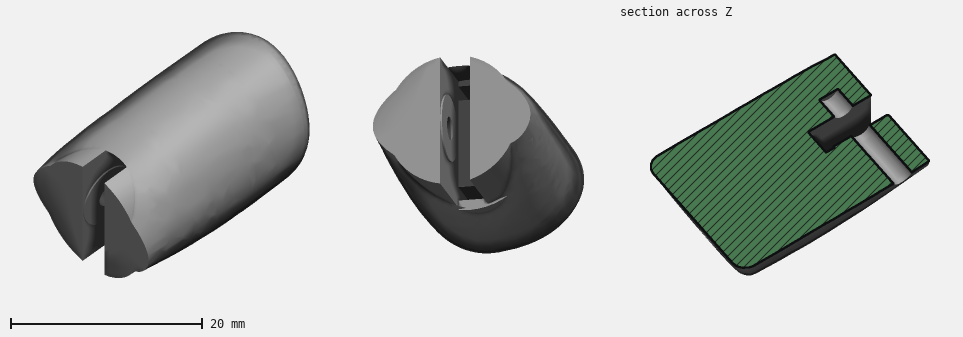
import cadquery as cq
import math

length = 26.75
half_width = 8.72
front_y = -length / 2

core_radius = 7.05
tail_radius = 7.3
tail_end_y = 0.0

slot_left = -1.23
slot_right = 1.95
slot_depth = 8.1
slot_width = slot_right - slot_left
slot_mid_x = (slot_left + slot_right) / 2
slot_floor_y = front_y + slot_depth
passage_spans = [(4.85, 6.4), (-6.18, -4.7)]

pin_diameter = 2.5
pin_y = -9.81
pin_z = 0.3
pin_depth_past_slot = 2.67
pad_radius = 3.53
pad_height = 0.2

slant_top = (14.4, 9.1)
slant_bottom = (7.85, -8.55)
rear_round = 1.6

stations = [
    (front_y, 8.45, 5.88, -4.0, -0.4, 0.82),
    (-9.63, 8.65, 7.1, -5.5, 0.0, 0.8),
    (-3.75, 8.7, 7.85, -7.38, 0.0, 0.76),
    (1.07, half_width, 8.08, -8.2, 0.0, 0.73),
    (6.95, half_width, 8.08, -7.92, 0.0, 0.73),
    (14.7, half_width, 8.53, -6.95, 0.0, 0.73),
]
upper_shoulder_x = 0.7
shoulder_z = 0.67


def section(y, half, top, bottom, middle, lower_shoulder_x):
    """Closed, rounded-diamond outline across the body at one Y."""
    upper_x = upper_shoulder_x * half
    lower_x = lower_shoulder_x * half
    upper_z = middle + shoulder_z * (top - middle)
    lower_z = middle + shoulder_z * (bottom - middle)
    points = [
        (0, bottom), (-lower_x, lower_z), (-half, middle), (-upper_x, upper_z),
        (0, top), (upper_x, upper_z), (half, middle), (lower_x, lower_z),
    ]
    plane = cq.Workplane(cq.Plane((0, y, 0), xDir=(1, 0, 0), normal=(0, -1, 0)))
    outline = plane.spline(points, periodic=True).close()
    return outline.wires().val()


def cylinder_y(radius, start_y, end_y):
    """Cylinder on the body axis between two Y places."""
    return cq.Workplane(cq.Solid.makeCylinder(
        radius, end_y - start_y, cq.Vector(0, start_y, 0), cq.Vector(0, 1, 0)))


def cylinder_x(radius, start_x, end_x):
    """Cylinder on the pin axis between two X places."""
    return cq.Workplane(cq.Solid.makeCylinder(
        radius, end_x - start_x, cq.Vector(start_x, pin_y, pin_z), cq.Vector(1, 0, 0)))


def make_shell():
    """Smooth outer shell with a slanted, rounded rear end."""
    shell = cq.Workplane(cq.Solid.makeLoft([section(*station) for station in stations]))
    slant_angle = math.atan2(slant_top[0] - slant_bottom[0], slant_top[1] - slant_bottom[1])
    slant_normal = (0, math.cos(slant_angle), -math.sin(slant_angle))
    slant_plane = cq.Plane((0, slant_bottom[0], slant_bottom[1]), xDir=(1, 0, 0), normal=slant_normal)
    rear_waste = cq.Workplane(slant_plane).rect(3 * length, 3 * length).extrude(length)
    shell = shell.cut(rear_waste)
    return shell.faces(">Y").edges().fillet(rear_round)


def make_slot():
    """Slot open at the front, closed above and below only by the shell."""
    box = cq.Workplane().box(slot_width, slot_depth, 2 * core_radius)
    box = box.translate((slot_mid_x, front_y + slot_depth / 2, 0))
    return box.intersect(cylinder_y(core_radius, front_y, slot_floor_y))


def make_passage(bottom, top):
    """Rectangular passage from the slot floor out through the rear."""
    box = cq.Workplane().box(slot_width, length, top - bottom)
    return box.translate((slot_mid_x, slot_floor_y + length / 2, (bottom + top) / 2))


body = make_shell()
body = body.union(cylinder_y(core_radius, front_y, slot_floor_y))
body = body.union(cylinder_y(tail_radius, slot_floor_y, tail_end_y))
body = body.cut(make_slot())
for span in passage_spans:
    body = body.cut(make_passage(*span))
body = body.union(cylinder_x(pad_radius, slot_left - pad_height, slot_left + pad_height))
body = body.cut(cylinder_x(pin_diameter / 2, -2 * half_width, slot_right + pin_depth_past_slot))

result = body